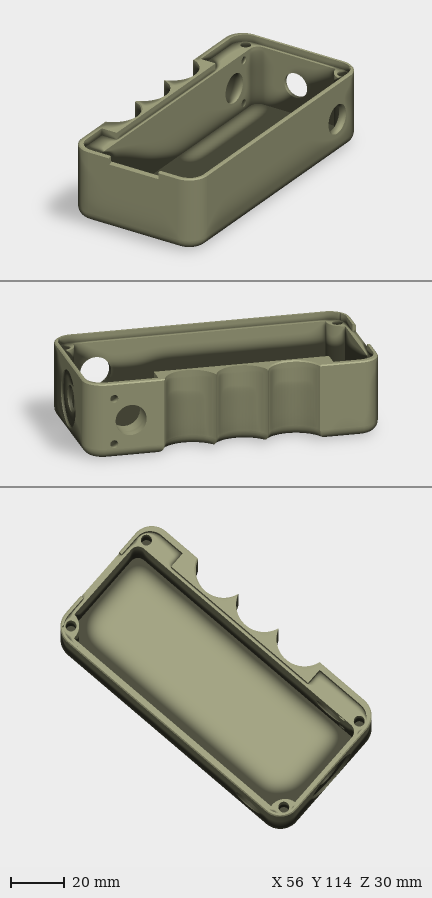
import cadquery as cq
import math

WIDTH = 56.0
LENGTH = 114.0
HEIGHT = 30.0
CORNER_RADIUS = 8.0
BOTTOM_FILLET = 4.0
RIM_CHAMFER = 0.5
LEFT = -WIDTH / 2
RIGHT = WIDTH / 2
FRONT = -LENGTH / 2
BACK = LENGTH / 2
MID_HEIGHT = HEIGHT / 2

FLOOR = 3.0
GRIP_WALL = 10.0
SIDE_WALL = 3.1
END_WALL = 2.5
CAVITY_RADIUS = 3.4

SEAT_DEPTH = 3.0
SEAT_Z = HEIGHT - SEAT_DEPTH
SEAT_INSET = 1.4
SEAT_GRIP_INSET = 2.3
SEAT_RADIUS = 6.5
BLOCK_INNER_INSET = 8.9
BLOCK_FRONT_Y = -38.6
BLOCK_BACK_Y = 29.0

FINGER_RADIUS = 10.5
FINGER_DEPTH = 7.5
FINGER_PITCH = 20.0
FINGER_MIDDLE_Y = -3.0
FINGER_X = LEFT + FINGER_DEPTH - FINGER_RADIUS
FINGER_YS = [FINGER_MIDDLE_Y + i * FINGER_PITCH for i in (-1, 0, 1)]

SCREW_DIAMETER = 4.1
SCREW_DEPTH = 11.4
SCREW_END_INSET = 4.5
SCREW_XS = (LEFT + 7.0, RIGHT - 5.9)
POST_DIAMETER = 12.8
POST_SIDE_INSET = 3.8
POST_END_INSET = 1.9

SIDE_HOLE_DIAMETER = 12.0
SIDE_HOLE_Y = 40.0
BACK_HOLE_DIAMETER = 10.1
BACK_RECESS_DIAMETER = 22.0
BACK_RECESS_DEPTH = 1.0
PIN_DIAMETER = 3.1
PIN_Y = 46.5
PIN_SPACING = 18.0
NOTCH_WIDTH = 22.0
NOTCH_X = 0.5


def block(x_min, x_max, y_min, y_max, z_min, z_max):
    """Box given by its limits along each axis."""
    size = (x_max - x_min, y_max - y_min, z_max - z_min)
    return cq.Workplane("XY").box(*size, centered=False).translate((x_min, y_min, z_min))


def cylinder_z(x, y, diameter, z_min, z_max):
    """Upright cylinder between two heights."""
    base = cq.Workplane("XY", origin=(x, y, z_min))
    return base.circle(diameter / 2).extrude(z_max - z_min)


def cylinder_x(y, z, diameter, x_min, x_max):
    """Cylinder along X between two positions."""
    base = cq.Workplane("YZ", origin=(x_min, y, z))
    return base.circle(diameter / 2).extrude(x_max - x_min)


def make_shell():
    """Solid case with rounded corners, rounded bottom and chamfered rim."""
    shell = block(LEFT, RIGHT, FRONT, BACK, 0, HEIGHT).edges("|Z").fillet(CORNER_RADIUS)
    return shell.faces("<Z").edges().fillet(BOTTOM_FILLET).faces(">Z").edges().chamfer(RIM_CHAMFER)


def make_cavity():
    """Main pocket, less the two round screw posts on the right."""
    cavity = block(LEFT + GRIP_WALL, RIGHT - SIDE_WALL, FRONT + END_WALL, BACK - END_WALL, FLOOR, HEIGHT)
    cavity = cavity.edges("|Z and <X").fillet(CAVITY_RADIUS)
    post_y = BACK - POST_END_INSET
    for y in (-post_y, post_y):
        cavity = cavity.cut(cylinder_z(RIGHT - POST_SIDE_INSET, y, POST_DIAMETER, FLOOR, SEAT_Z))
    return cavity


def make_seat():
    """Lid recess, stepping around the block behind the scallops."""
    seat = block(
        LEFT + SEAT_GRIP_INSET, RIGHT - SEAT_INSET,
        FRONT + SEAT_INSET, BACK - SEAT_INSET, SEAT_Z, HEIGHT,
    )
    seat = seat.edges("|Z").fillet(SEAT_RADIUS)
    return seat.cut(block(LEFT, LEFT + BLOCK_INNER_INSET, BLOCK_FRONT_Y, BLOCK_BACK_Y, SEAT_Z, HEIGHT))


def make_finger(y, chamfer_top):
    """Scallop cutter that flares out at the bottom to leave a rounded lower edge."""
    flare = BOTTOM_FILLET
    arc_offset = flare * (1 - math.sqrt(0.5))
    profile = (
        cq.Workplane("XZ")
        .lineTo(FINGER_RADIUS + flare, 0)
        .threePointArc((FINGER_RADIUS + arc_offset, arc_offset), (FINGER_RADIUS, flare))
    )
    if chamfer_top:
        profile = profile.lineTo(FINGER_RADIUS, HEIGHT - RIM_CHAMFER)
        profile = profile.lineTo(FINGER_RADIUS + RIM_CHAMFER, HEIGHT)
    else:
        profile = profile.lineTo(FINGER_RADIUS, HEIGHT)
    cutter = profile.lineTo(0, HEIGHT).close().revolve(360, (0, 0, 0), (0, 1, 0))
    return cutter.translate((FINGER_X, y, 0))


result = make_shell().cut(make_cavity()).cut(make_seat())

for finger_y in FINGER_YS:
    result = result.cut(make_finger(finger_y, finger_y == FINGER_YS[0]))

screw_y = BACK - SCREW_END_INSET
for x in SCREW_XS:
    for y in (-screw_y, screw_y):
        result = result.cut(cylinder_z(x, y, SCREW_DIAMETER, SEAT_Z - SCREW_DEPTH, SEAT_Z))

result = result.cut(cylinder_x(SIDE_HOLE_Y, MID_HEIGHT, SIDE_HOLE_DIAMETER, LEFT, RIGHT))
for side in (-1, 1):
    pin_z = MID_HEIGHT + side * PIN_SPACING / 2
    result = result.cut(cylinder_x(PIN_Y, pin_z, PIN_DIAMETER, LEFT, LEFT + GRIP_WALL))

back_plane = cq.Workplane("XZ", origin=(0, BACK, MID_HEIGHT))
back_hole = back_plane.circle(BACK_HOLE_DIAMETER / 2).extrude(END_WALL)
back_recess = back_plane.circle(BACK_RECESS_DIAMETER / 2).extrude(BACK_RECESS_DEPTH)
result = result.cut(back_hole).cut(back_recess)

result = result.cut(
    block(NOTCH_X - NOTCH_WIDTH / 2, NOTCH_X + NOTCH_WIDTH / 2, FRONT, FRONT + END_WALL, SEAT_Z, HEIGHT)
)